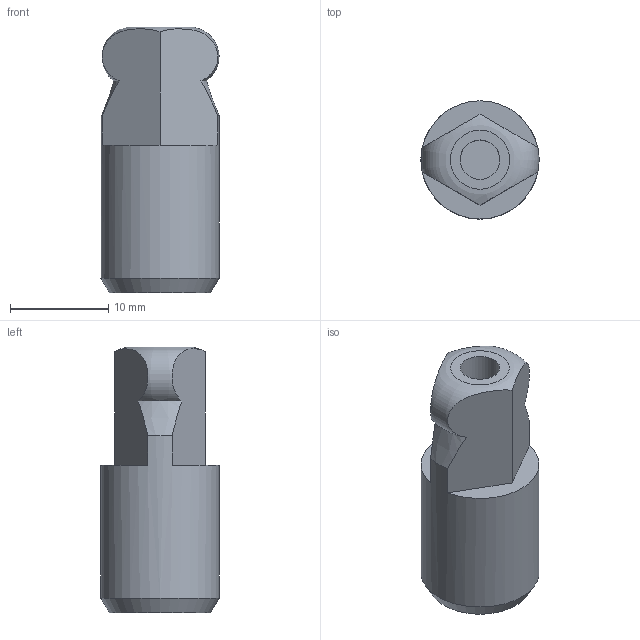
import cadquery as cq
import math

body_radius = 6.0
total_height = 27.0
shoulder_height = 15.0
neck_start_height = 18.0
head_round_radius = 3.0
neck_taper_angle = 20.0
foot_chamfer_height = 1.5
foot_chamfer_angle = 30.0
flat_distance = 4.0
flat_angle = 30.0
hole_diameter = 4.0
hole_depth = 10.0

foot_radius = body_radius - foot_chamfer_height * math.tan(math.radians(foot_chamfer_angle))
rim_center_radius = body_radius - head_round_radius
rim_center_height = total_height - head_round_radius


def neck_point():
    """Radius and height where the tapered neck runs into the rounded rim."""
    taper = math.radians(neck_taper_angle)
    radial_step = -math.sin(taper)
    height_step = math.cos(taper)
    start_radius = body_radius - rim_center_radius
    start_height = neck_start_height - rim_center_height
    along = -(start_radius * radial_step + start_height * height_step)
    offset_squared = start_radius**2 + start_height**2 - along**2
    distance = along - math.sqrt(head_round_radius**2 - offset_squared)
    return (
        body_radius + distance * radial_step,
        neck_start_height + distance * height_step,
    )


def turned_blank():
    """Round body with chamfered foot, tapered neck and rounded head."""
    return (
        cq.Workplane("XZ")
        .moveTo(0, 0)
        .lineTo(foot_radius, 0)
        .lineTo(body_radius, foot_chamfer_height)
        .lineTo(body_radius, neck_start_height)
        .lineTo(*neck_point())
        .threePointArc((body_radius, rim_center_height), (rim_center_radius, total_height))
        .lineTo(0, total_height)
        .close()
        .revolve(360, (0, 0, 0), (0, 1, 0))
    )


def flats_cutter():
    """Material outside the rhombus formed by the four flats, above the shoulder."""
    ridge_y = flat_distance / math.cos(math.radians(flat_angle))
    tip_x = flat_distance / math.sin(math.radians(flat_angle))
    corners = [(tip_x, 0), (0, ridge_y), (-tip_x, 0), (0, -ridge_y)]
    head_height = total_height - shoulder_height
    stock = cq.Workplane("XY").workplane(offset=shoulder_height)
    rhombus = stock.polyline(corners).close().extrude(head_height)
    return stock.circle(2 * body_radius).extrude(head_height).cut(rhombus)


def center_hole():
    """Blind hole down the axis from the top face."""
    return (
        cq.Workplane("XY")
        .workplane(offset=total_height - hole_depth)
        .circle(hole_diameter / 2)
        .extrude(hole_depth)
    )


result = turned_blank().cut(flats_cutter()).cut(center_hole())